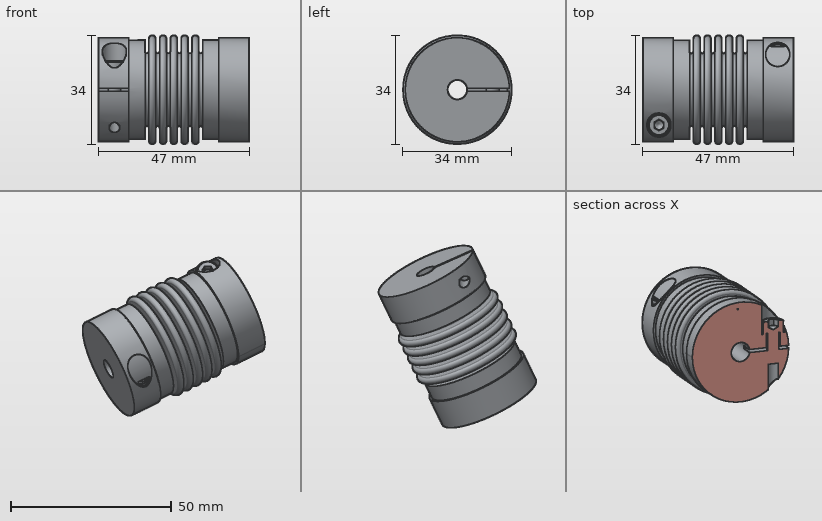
import cadquery as cq
import math

length = 47.0
hub_diameter = 32.5
hub_length = 9.5
collar_diameter = 31.0
collar_length = 5.05
bore_diameter = 6.0

crest_count = 5
crest_diameter = 34.0
root_diameter = 22.75
crest_width = 2.2
bellows_length = length - 2 * (hub_length + collar_length)
root_width = (bellows_length - crest_count * crest_width) / (crest_count + 1)
root_radius = root_width / 2
crest_radius = crest_width / 2

slit_width = 0.85
screw_inset = 5.0
screw_offset = 11.0
shank_diameter = 4.0
shank_length = 10.0
head_diameter = 7.0
head_height = 4.0
head_chamfer = 0.4
socket_width = 3.0
socket_depth = 2.0
socket_tip_angle = 120.0
seat_height = 5.0
pocket_diameter = 7.5
clearance_diameter = 4.5
thread_diameter = 3.3

recess_floor_diameter = 32.3


def disc(diameter, start, width):
    """Solid disc on the X axis."""
    return cq.Workplane("YZ", origin=(start, 0, 0)).circle(diameter / 2).extrude(width)


def screw_cylinder(diameter, bottom, top):
    """Cylinder on the screw axis of the -X hub."""
    plane = cq.Workplane("XY", origin=(screw_inset, -screw_offset, bottom))
    return plane.circle(diameter / 2).extrude(top - bottom)


def make_bellows():
    """Revolved solid whose outline alternates root and crest arcs."""
    start = hub_length + collar_length
    valley = root_diameter / 2 + root_radius
    shoulder = crest_diameter / 2 - crest_radius
    outline = cq.Workplane("XY").moveTo(start, 0).lineTo(start, valley)
    x = start
    for crest in range(crest_count + 1):
        middle = (x + root_radius, root_diameter / 2)
        x += root_width
        outline = outline.threePointArc(middle, (x, valley))
        if crest < crest_count:
            outline = outline.lineTo(x, shoulder)
            middle = (x + crest_radius, crest_diameter / 2)
            x += crest_width
            outline = outline.threePointArc(middle, (x, shoulder)).lineTo(x, valley)
    return outline.lineTo(x, 0).close().revolve(360, (0, 0, 0), (1, 0, 0))


def make_screw():
    """Socket head screw with a hexagonal socket ending in a cone."""
    head_top = seat_height + head_height
    head = screw_cylinder(head_diameter, seat_height, head_top)
    head = head.faces(">Z").chamfer(head_chamfer)
    shank = screw_cylinder(shank_diameter, seat_height - shank_length, seat_height)
    socket_floor = head_top - socket_depth
    corner_radius = socket_width / math.sqrt(3)
    socket = (
        cq.Workplane("XY", origin=(screw_inset, -screw_offset, socket_floor))
        .transformed(rotate=(0, 0, 90))
        .polygon(6, 2 * corner_radius)
        .extrude(socket_depth)
    )
    tip_radius = socket_width / 2
    tip_depth = tip_radius / math.tan(math.radians(socket_tip_angle / 2))
    tip = cq.Solid.makeCone(
        0, tip_radius, tip_depth, cq.Vector(screw_inset, -screw_offset, socket_floor - tip_depth)
    )
    return head.union(shank).cut(socket).cut(tip)


def make_clamp_hub():
    """The -X hub: slit on the -Y side, closed by a screw from above."""
    hub_radius = hub_diameter / 2
    slit = cq.Workplane("XY").box(hub_length, hub_radius, slit_width, centered=(False, False, True))
    slit = slit.translate((0, -hub_radius, 0))
    return (
        disc(hub_diameter, 0, hub_length)
        .cut(slit)
        .cut(screw_cylinder(pocket_diameter, seat_height, hub_radius))
        .cut(screw_cylinder(clearance_diameter, 0, seat_height))
        .cut(screw_cylinder(thread_diameter, -hub_radius, 0))
        .union(make_screw())
    )


def make_plain_hub():
    """The +X hub: unslit, its pocket only a shallow recess that the screw head breaks through."""
    recess = screw_cylinder(pocket_diameter, seat_height, hub_diameter / 2)
    recess = recess.cut(disc(recess_floor_diameter, 0, hub_length))
    screw = make_screw()
    turned_recess, turned_screw = (
        shape.rotate((length / 2, 0, 0), (length / 2, 0, 1), 180) for shape in (recess, screw)
    )
    return disc(hub_diameter, length - hub_length, hub_length).cut(turned_recess).union(turned_screw)


left_collar = disc(collar_diameter, hub_length, collar_length)
right_collar = disc(collar_diameter, length - hub_length - collar_length, collar_length)

result = (
    make_clamp_hub()
    .union(left_collar)
    .union(make_bellows())
    .union(right_collar)
    .union(make_plain_hub())
    .cut(disc(bore_diameter, 0, length))
)